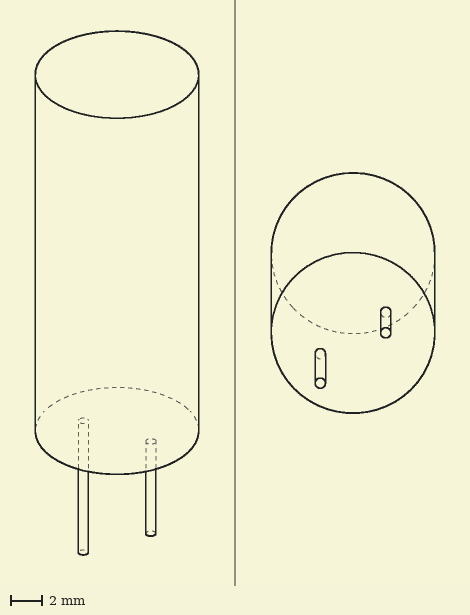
import cadquery as cq

total_height = 37.0
can_diameter = 10.5

lead_diameter = 0.65
lead_pitch = 5.0
long_lead_length = 10.0
short_lead_length = 7.0

can_height = total_height - long_lead_length


def make_can():
    """Plain cylindrical can standing on the plane Z = 0."""
    return cq.Workplane("XY").circle(can_diameter / 2).extrude(can_height)


def make_lead(x, length):
    """Round lead running down from the underside of the can."""
    return cq.Workplane("XY").center(x, 0).circle(lead_diameter / 2).extrude(-length)


can = make_can()

lead_layout = [
    (-lead_pitch / 2, long_lead_length),
    (lead_pitch / 2, short_lead_length),
]
leads = [make_lead(x, length) for x, length in lead_layout]

result = cq.Compound.makeCompound([can.val(), *[lead.val() for lead in leads]])